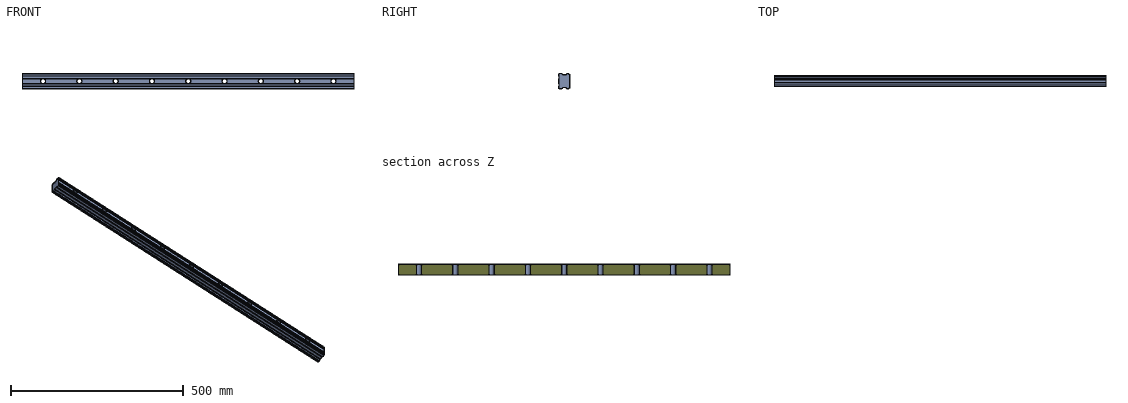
import cadquery as cq
import math

LENGTH = 960.0
HEIGHT = 32.0
WIDTH = 45.0

SHOULDER_DROP = 3.4
SHOULDER_INSET = 1.9
SHOULDER_SLOPE = 16.3
HEAD_SIDE_DRAFT = 22.0
HEAD_END_DROP = 7.5

RACEWAY_LENGTH = 4.46
RACEWAY_SLOPE = 43.5
LEAD_IN_LENGTH = 1.65
LEAD_IN_SLOPE = 22.8

FOOT_DEPTH = 8.56
FOOT_CHAMFER = 2.0

PAD_START = 15.0
LAND_WIDTH = 14.0
CHANNEL_DEPTH = 0.5

HOLE_DIAMETER = 14.0
HOLE_COUNT = 9
HOLE_PITCH = 105.0

TOP = HEIGHT / 2
BOTTOM = -HEIGHT / 2
SIDE = WIDTH / 2


def slope_step(length, slope):
    """Components along and across the base direction of a line at the given slope."""
    angle = math.radians(slope)
    return length * math.cos(angle), length * math.sin(angle)


def head_points():
    """Points (Y, Z) of the +Z side of the head, from the top face to the groove."""
    shoulder_y = TOP - SHOULDER_DROP
    step_y = shoulder_y + SHOULDER_INSET * math.tan(math.radians(SHOULDER_SLOPE))
    step_z = SIDE - SHOULDER_INSET
    top_z = step_z - (TOP - step_y) * math.tan(math.radians(HEAD_SIDE_DRAFT))
    return [
        (TOP, top_z),
        (step_y, step_z),
        (shoulder_y, SIDE),
        (TOP - HEAD_END_DROP, SIDE),
    ]


def groove_points():
    """Points (Y, Z) of the +Z groove: raceway, lead-in, floor and 45 degree foot side."""
    raceway_run, raceway_drop = slope_step(RACEWAY_LENGTH, RACEWAY_SLOPE)
    lead_run, lead_drop = slope_step(LEAD_IN_LENGTH, LEAD_IN_SLOPE)
    raceway_end = TOP - HEAD_END_DROP - raceway_run
    depth = raceway_drop + lead_drop
    foot_y = BOTTOM + FOOT_DEPTH
    return [
        (raceway_end, SIDE - raceway_drop),
        (raceway_end - lead_run, SIDE - depth),
        (foot_y + depth, SIDE - depth),
        (foot_y, SIDE),
    ]


def foot_points():
    """Points (Y, Z) of the +Z side of the foot, ending on the central land."""
    channel_y = BOTTOM + CHANNEL_DEPTH
    land_z = LAND_WIDTH / 2
    return [
        (BOTTOM + FOOT_CHAMFER, SIDE),
        (BOTTOM, SIDE - FOOT_CHAMFER),
        (BOTTOM, PAD_START),
        (channel_y, PAD_START - CHANNEL_DEPTH),
        (channel_y, land_z + CHANNEL_DEPTH),
        (BOTTOM, land_z),
    ]


def rail_body():
    """Rail section, symmetric about Z = 0, extruded along X and centred on the origin."""
    upper_half = head_points() + groove_points() + foot_points()
    lower_half = [(y, -z) for y, z in reversed(upper_half)]
    section = cq.Workplane("YZ").polyline(upper_half + lower_half).close()
    return section.extrude(LENGTH / 2, both=True)


def mounting_holes():
    """Evenly pitched cylinders, longer than the rail is high so that they pass through it."""
    centres = cq.Workplane("XZ").rarray(HOLE_PITCH, 1, HOLE_COUNT, 1)
    return centres.circle(HOLE_DIAMETER / 2).extrude(HEIGHT, both=True)


result = rail_body().cut(mounting_holes())